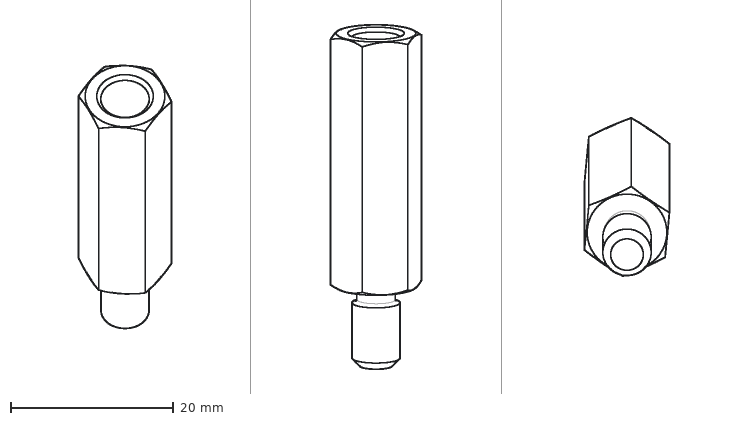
import cadquery as cq
import math

total_length = 42.0
stud_length = 10.0
across_flats = 10.0
across_corners = across_flats / math.cos(math.radians(30))
corner_radius = across_corners / 2

end_face_radius = 4.9
corner_chamfer_height = 0.5

stud_radius = 3.0
stud_tip_radius = 2.0
stud_tip_height = 1.0
neck_radius = 2.4
neck_fillet = 0.4
shoulder_top = 8.0

bore_radius = 3.0
bore_mouth_radius = 3.5
bore_depth = 18.0


def hexagon_body():
    """Hexagonal bar with corners on the Y axis, both ends turned conically."""
    bar = (
        cq.Workplane("XY", origin=(0, 0, stud_length))
        .polygon(6, across_corners)
        .extrude(total_length - stud_length)
        .rotate((0, 0, 0), (0, 0, 1), 30)
    )
    turned_blank = (
        cq.Workplane("XZ")
        .moveTo(0, stud_length)
        .lineTo(end_face_radius, stud_length)
        .lineTo(corner_radius, stud_length + corner_chamfer_height)
        .lineTo(corner_radius, total_length - corner_chamfer_height)
        .lineTo(end_face_radius, total_length)
        .lineTo(0, total_length)
        .close()
        .revolve(360, (0, 0), (0, 1))
    )
    return bar.intersect(turned_blank)


def stud():
    """Stud with a tapered tip, and a neck filleted at both ends."""
    arc_middle = neck_fillet * (1 - math.sqrt(0.5))
    return (
        cq.Workplane("XZ")
        .lineTo(stud_tip_radius, 0)
        .lineTo(stud_radius, stud_tip_height)
        .lineTo(stud_radius, shoulder_top)
        .lineTo(neck_radius + neck_fillet, shoulder_top)
        .threePointArc(
            (neck_radius + arc_middle, shoulder_top + arc_middle),
            (neck_radius, shoulder_top + neck_fillet),
        )
        .lineTo(neck_radius, stud_length - neck_fillet)
        .threePointArc(
            (neck_radius + arc_middle, stud_length - arc_middle),
            (neck_radius + neck_fillet, stud_length),
        )
        .lineTo(0, stud_length)
        .close()
        .revolve(360, (0, 0), (0, 1))
    )


def bore():
    """Blind flat-bottomed bore with a 45 degree countersink at its mouth."""
    countersink_bottom = total_length - (bore_mouth_radius - bore_radius)
    return (
        cq.Workplane("XZ")
        .moveTo(0, total_length - bore_depth)
        .lineTo(bore_radius, total_length - bore_depth)
        .lineTo(bore_radius, countersink_bottom)
        .lineTo(bore_mouth_radius, total_length)
        .lineTo(0, total_length)
        .close()
        .revolve(360, (0, 0), (0, 1))
    )


result = hexagon_body().union(stud()).cut(bore())